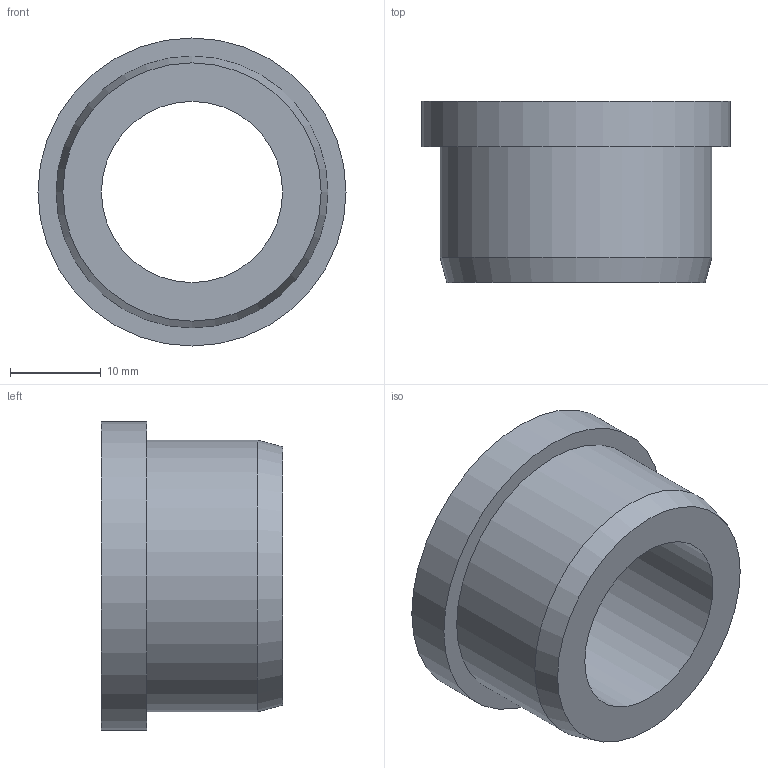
import cadquery as cq
import math

flange_diameter = 34.0
body_diameter = 30.0
bore_diameter = 20.0
total_length = 20.0
flange_thickness = 5.0

taper_length = 2.8
taper_angle = 15.0
taper_depth = taper_length * math.tan(math.radians(taper_angle))

flange_radius = flange_diameter / 2
body_radius = body_diameter / 2
bore_radius = bore_diameter / 2
shoulder_y = total_length - flange_thickness


def make_bushing():
    """Revolve the half section (X = radius, Y = axial position) about the Y axis."""
    half_section = [
        (bore_radius, 0),
        (body_radius - taper_depth, 0),
        (body_radius, taper_length),
        (body_radius, shoulder_y),
        (flange_radius, shoulder_y),
        (flange_radius, total_length),
        (bore_radius, total_length),
    ]
    axis_start = (0, 0, 0)
    axis_end = (0, 1, 0)
    return cq.Workplane("XY").polyline(half_section).close().revolve(360, axis_start, axis_end)


result = make_bushing()